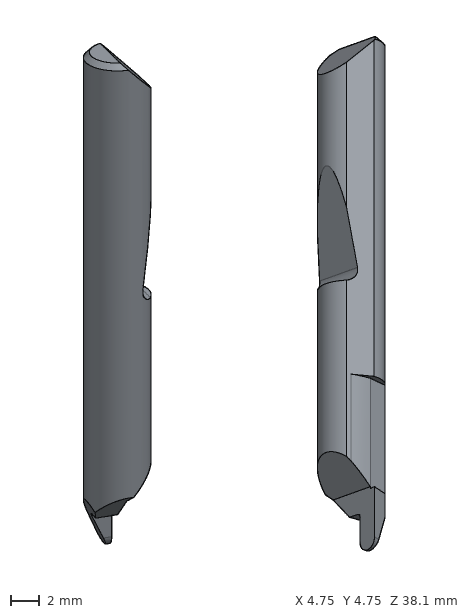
import cadquery as cq
import math

length = 38.1
diameter = 4.75
radius = diameter / 2
chamfer = 0.42
beyond = 3.8

top_slope_y = -0.55
rake_y = -0.08
rake_top_z = 4.6

flat_tilt = 25.0

notch_bottom_z = 19.6
notch_top_z = 28.3
notch_tilt = 9.5
notch_fillet = 0.88

pocket_bottom_z = 4.5
pocket_top_z = 12.65
pocket_x = -1.9
pocket_relief = 13.5
pocket_curve_radius = 5.52

tip_width = 1.55
tip_radius = tip_width / 2
tip_relief = 22.0
tip_shoulder_z = 2.9
tip_shoulder_x = 0.25
tip_fillet = 0.25
tip_front_y = -0.35
front_slope_top_z = 4.25


def tangent(angle):
    return math.tan(math.radians(angle))


def side_cutter(points):
    """Close a (Y, Z) outline and extend it across the whole width in X."""
    return cq.Workplane("YZ").polyline(points).close().extrude(beyond, both=True)


def make_shank():
    return cq.Workplane("XY").circle(radius).extrude(length).faces(">Z").chamfer(chamfer)


def upper_slope():
    rise = beyond - top_slope_y
    return side_cutter([(top_slope_y, length), (beyond, length - rise), (beyond, length)])


def lower_slope():
    return side_cutter([
        (rake_y, -beyond),
        (rake_y, rake_top_z),
        (beyond, rake_top_z + beyond - rake_y),
        (beyond, -beyond),
    ])


def front_slope():
    """Wedge below the inclined underside, from the tip to the front of the shank."""
    slope = front_slope_top_z / (radius + tip_front_y)
    outer_z = slope * (beyond + tip_front_y)
    return side_cutter([(tip_front_y, 0), (-beyond, outer_z), (-beyond, 0)])


def back_flat():
    """Flat that starts at the leftmost line of the shank and leans inward toward +Y."""
    return (
        cq.Workplane("XY")
        .moveTo(-radius, 0)
        .lineTo(-radius + beyond * tangent(flat_tilt), beyond)
        .lineTo(-radius, beyond)
        .close()
        .extrude(length)
    )


def clamping_notch():
    slope = tangent(notch_tilt)
    depth_y = radius - (notch_top_z - notch_bottom_z) * slope
    outer_z = notch_top_z + (beyond - radius) / slope
    notch = side_cutter([(depth_y, notch_bottom_z), (beyond, outer_z), (beyond, notch_bottom_z)])
    return notch.edges("|X").edges("<Y").fillet(notch_fillet)


def side_pocket():
    """Plane relief in front of the rake face and a gentle convex curve behind it."""
    arc_mid_y = beyond / 2

    def curve_x(y):
        return pocket_x + pocket_curve_radius - math.sqrt(pocket_curve_radius**2 - (y - rake_y) ** 2)

    return (
        cq.Workplane("XY", origin=(0, 0, pocket_bottom_z))
        .moveTo(-beyond, rake_y - beyond)
        .lineTo(pocket_x + beyond * tangent(pocket_relief), rake_y - beyond)
        .lineTo(pocket_x, rake_y)
        .threePointArc((curve_x(arc_mid_y), arc_mid_y), (curve_x(beyond), beyond))
        .lineTo(-beyond, beyond)
        .close()
        .extrude(pocket_top_z - pocket_bottom_z)
    )


def tip_side_relief():
    return (
        cq.Workplane("XY")
        .moveTo(-radius, 0)
        .lineTo(-radius + beyond * tangent(tip_relief), -beyond)
        .lineTo(-radius, -beyond)
        .close()
        .extrude(pocket_bottom_z)
    )


def tip_corner_relief():
    """Rounded left corner of the tip, carried inward along the side relief."""
    depth = tip_radius
    shift = depth * tangent(tip_relief)
    arc_mid = tip_radius * (1 - math.sqrt(0.5))

    def corner(workplane, left_x):
        return (
            workplane.moveTo(left_x, tip_radius)
            .threePointArc((left_x + arc_mid, arc_mid), (left_x + tip_radius, 0))
            .lineTo(left_x + tip_radius, -tip_radius)
            .lineTo(left_x - tip_radius, -tip_radius)
            .lineTo(left_x - tip_radius, tip_radius)
            .close()
        )

    rake_corner = corner(cq.Workplane("XZ"), -radius)
    return corner(rake_corner.workplane(offset=depth), -radius + shift).loft(ruled=True)


def tip_outline():
    """Body with the rounded tip, the shoulder and the 45 degree corner, as seen along Y."""
    tip_right_x = -radius + tip_width
    corner_z = tip_shoulder_z + radius - tip_shoulder_x
    fillet_mid = tip_fillet * (1 - math.sqrt(0.5))
    return (
        cq.Workplane("XZ")
        .moveTo(-radius, tip_radius)
        .threePointArc((-radius + tip_radius, 0), (tip_right_x, tip_radius))
        .lineTo(tip_right_x, tip_shoulder_z - tip_fillet)
        .threePointArc(
            (tip_right_x + fillet_mid, tip_shoulder_z - fillet_mid),
            (tip_right_x + tip_fillet, tip_shoulder_z),
        )
        .lineTo(tip_shoulder_x, tip_shoulder_z)
        .lineTo(radius, corner_z)
        .lineTo(radius, length)
        .lineTo(-radius, length)
        .close()
        .extrude(beyond, both=True)
    )


result = (
    make_shank()
    .intersect(tip_outline())
    .cut(upper_slope())
    .cut(lower_slope())
    .cut(front_slope())
    .cut(back_flat())
    .cut(clamping_notch())
    .cut(side_pocket())
    .cut(tip_side_relief())
    .cut(tip_corner_relief())
)